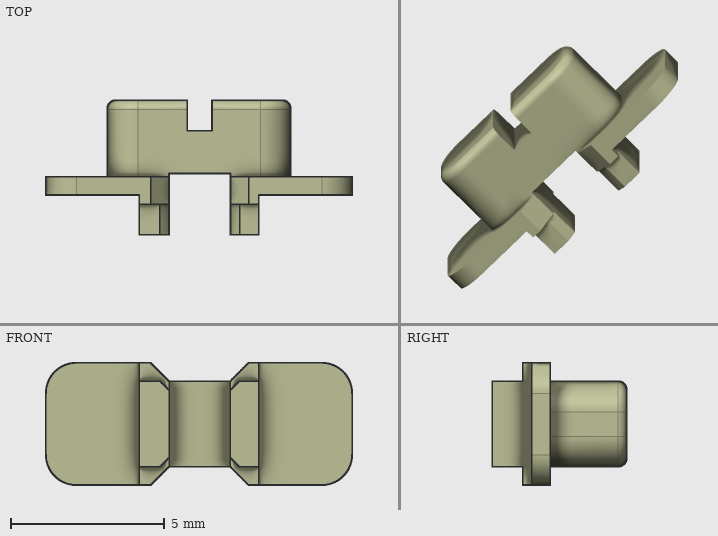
import cadquery as cq

flange_length = 10.0
flange_height = 4.0
flange_thickness = 0.6
corner_radius = 1.0

body_length = 6.0
body_height = 2.8
body_depth = 2.5
body_edge_fillet = 0.3

opening_center_x = 0.022
notch_width = 0.8
notch_depth = 1.0
gap_width = 2.0
gap_depth_into_body = 0.1

leg_outer_x = 1.95
step_thickness = 0.3
prong_length = 1.0
prong_chamfer = 0.3

body_back_y = flange_thickness + body_depth
gap_floor_y = flange_thickness + gap_depth_into_body
step_front_y = -step_thickness
prong_tip_y = step_front_y - prong_length
step_chamfer = (flange_height - body_height) / 2
gap_left_x = opening_center_x - gap_width / 2
gap_right_x = opening_center_x + gap_width / 2
notch_left_x = opening_center_x - notch_width / 2
notch_right_x = opening_center_x + notch_width / 2


def block(x_min, x_max, y_min, y_max, height):
    """Box between the given X and Y limits, centred on Z = 0."""
    return (
        cq.Workplane("XY")
        .box(x_max - x_min, y_max - y_min, height, centered=(False, False, True))
        .translate((x_min, y_min, 0))
    )


def rounded_plate(length, height, y_min, y_max):
    """Plate centred on the Y axis, with its four corners rounded."""
    plate = block(-length / 2, length / 2, y_min, y_max, height)
    return plate.edges("|Y").fillet(corner_radius)


def make_body():
    """Rear body with a rounded back rim, a notch across its back and the floor of the gap at its front."""
    body = rounded_plate(body_length, body_height, flange_thickness, body_back_y)
    body = body.faces(">Y").edges().fillet(body_edge_fillet)
    notch = block(notch_left_x, notch_right_x, body_back_y - notch_depth, body_back_y, body_height)
    gap_floor = block(gap_left_x, gap_right_x, flange_thickness, gap_floor_y, body_height)
    return body.cut(notch).cut(gap_floor)


def make_flange():
    """Two rounded wings, open in the middle where the legs stand."""
    flange = rounded_plate(flange_length, flange_height, 0, flange_thickness)
    opening = block(-leg_outer_x, leg_outer_x, 0, flange_thickness, flange_height)
    return flange.cut(opening)


def make_leg(x_min, x_max, gap_side):
    """Full-height step through the flange with a narrower prong in front, both chamfered towards the gap."""
    step = block(x_min, x_max, step_front_y, flange_thickness, flange_height)
    step = step.faces(gap_side).edges("|Y").chamfer(step_chamfer)
    prong = block(x_min, x_max, prong_tip_y, step_front_y, body_height)
    prong = prong.faces(gap_side).edges("|Y").chamfer(prong_chamfer)
    return step.union(prong)


left_leg = make_leg(-leg_outer_x, gap_left_x, ">X")
right_leg = make_leg(gap_right_x, leg_outer_x, "<X")

part = make_body().union(make_flange()).union(left_leg).union(right_leg)
result = part.solids()